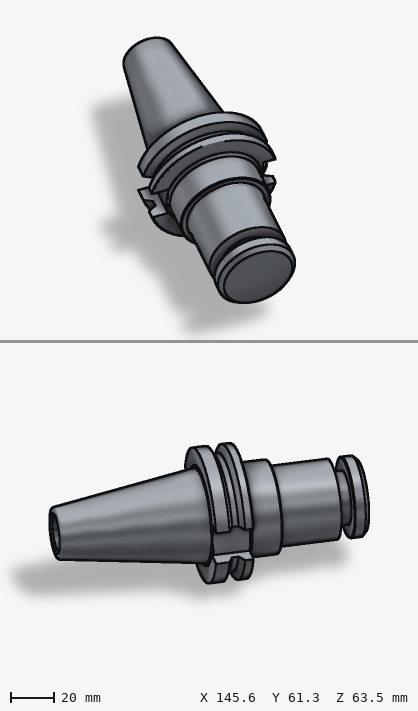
import cadquery as cq
import math


TAPER_LENGTH = 68.5
TAPER_END_DIAMETER = 44.4
TAPER_RATIO = 7 / 24
TAPER_LAND = 0.7
TAPER_TIP_ROUND = 1.5
TAPER_TIP_DIAMETER = TAPER_END_DIAMETER - TAPER_RATIO * TAPER_LENGTH

FLANGE_DIAMETER = 63.5
FLANGE_START = 69.3
FLANGE_END = 87.4
FLANGE_ROUND = 0.5
FLANGE_ROOT_DIAMETER = 47.2
FACE_RECESS_DEPTH = 0.9
GROOVE_CENTRE = 79.5
GROOVE_FLOOR_DIAMETER = 55.9
GROOVE_FLOOR_WIDTH = 3.0
GROOVE_FLANK_ANGLE = 30

SLOT_WIDTH = 16.5
SLOT_FLOOR_FRONT = 22.7
SLOT_FLOOR_BACK = 24.3

COLLAR_DIAMETER = TAPER_END_DIAMETER
COLLAR_END = 103.1
COLLAR_CHAMFER = 0.5
SHAFT_DIAMETER = 37.9
SHAFT_END = 131.9
SHAFT_ROOT_LENGTH = 1.5
SHAFT_ROOT_RISE = 0.5
NECK_DIAMETER = 25.3
HEAD_DIAMETER = 38.1
HEAD_START = 138.2
HEAD_END = 145.6
HEAD_CHAMFER = 2.2
HEAD_BACK_CHAMFER = 0.5

COUNTERSINK_DIAMETER = 19.0
COUNTERSINK_DEPTH = 0.9
PILOT_DIAMETER = 16.3
PILOT_DEPTH = 7.3
THREAD_DIAMETER = 14.1
THREAD_DEPTH = 32.0


def revolve_about_x(outline):
    return outline.close().revolve(360, (0, 0, 0), (1, 0, 0))


def turned_body():
    taper_radius = TAPER_END_DIAMETER / 2
    flange_radius = FLANGE_DIAMETER / 2
    root_radius = FLANGE_ROOT_DIAMETER / 2
    collar_radius = COLLAR_DIAMETER / 2
    root_step = root_radius - collar_radius
    shaft_radius = SHAFT_DIAMETER / 2
    head_radius = HEAD_DIAMETER / 2
    neck_radius = NECK_DIAMETER / 2
    return revolve_about_x(
        cq.Workplane("XY")
        .lineTo(0, TAPER_TIP_DIAMETER / 2)
        .lineTo(TAPER_LENGTH, taper_radius)
        .lineTo(TAPER_LENGTH + TAPER_LAND, taper_radius)
        .lineTo(FLANGE_START + FACE_RECESS_DEPTH, root_radius)
        .lineTo(FLANGE_START, root_radius)
        .lineTo(FLANGE_START, flange_radius)
        .lineTo(FLANGE_END - FLANGE_ROUND, flange_radius)
        .radiusArc((FLANGE_END, flange_radius - FLANGE_ROUND), FLANGE_ROUND)
        .lineTo(FLANGE_END, root_radius)
        .lineTo(FLANGE_END + root_step, collar_radius)
        .lineTo(COLLAR_END - COLLAR_CHAMFER, collar_radius)
        .lineTo(COLLAR_END, collar_radius - COLLAR_CHAMFER)
        .lineTo(COLLAR_END, shaft_radius + SHAFT_ROOT_RISE)
        .lineTo(COLLAR_END + SHAFT_ROOT_LENGTH, shaft_radius)
        .lineTo(SHAFT_END, shaft_radius)
        .lineTo(SHAFT_END, neck_radius)
        .lineTo(HEAD_START, neck_radius)
        .lineTo(HEAD_START, head_radius - HEAD_BACK_CHAMFER)
        .lineTo(HEAD_START + HEAD_BACK_CHAMFER, head_radius)
        .lineTo(HEAD_END - HEAD_CHAMFER, head_radius)
        .lineTo(HEAD_END, head_radius - HEAD_CHAMFER)
        .lineTo(HEAD_END, 0)
    )


def groove_cutter():
    floor_radius = GROOVE_FLOOR_DIAMETER / 2
    half_floor = GROOVE_FLOOR_WIDTH / 2
    rim_radius = FLANGE_DIAMETER / 2
    flank_run = (rim_radius - floor_radius) * math.tan(math.radians(GROOVE_FLANK_ANGLE))
    half_rim = half_floor + flank_run
    return revolve_about_x(
        cq.Workplane("XY")
        .moveTo(GROOVE_CENTRE - half_floor, floor_radius)
        .lineTo(GROOVE_CENTRE + half_floor, floor_radius)
        .lineTo(GROOVE_CENTRE + half_rim, rim_radius)
        .lineTo(GROOVE_CENTRE - half_rim, rim_radius)
    )


def slot_cutter(floor, side):
    """Box outside `floor` on one Y side (+1 or -1), as long as the flange."""
    depth = FLANGE_DIAMETER / 2 - floor
    return (
        cq.Workplane("XY")
        .box(FLANGE_END - FLANGE_START, depth, SLOT_WIDTH)
        .translate(((FLANGE_START + FLANGE_END) / 2, side * (floor + depth / 2), 0))
    )


def bore_cutter():
    return revolve_about_x(
        cq.Workplane("XY")
        .lineTo(0, COUNTERSINK_DIAMETER / 2)
        .lineTo(COUNTERSINK_DEPTH, PILOT_DIAMETER / 2)
        .lineTo(PILOT_DEPTH, PILOT_DIAMETER / 2)
        .lineTo(PILOT_DEPTH, THREAD_DIAMETER / 2)
        .lineTo(THREAD_DEPTH, THREAD_DIAMETER / 2)
        .lineTo(THREAD_DEPTH, 0)
    )


result = (
    turned_body()
    .faces("<X")
    .edges()
    .fillet(TAPER_TIP_ROUND)
    .cut(groove_cutter())
    .cut(slot_cutter(SLOT_FLOOR_FRONT, -1))
    .cut(slot_cutter(SLOT_FLOOR_BACK, 1))
    .cut(bore_cutter())
)